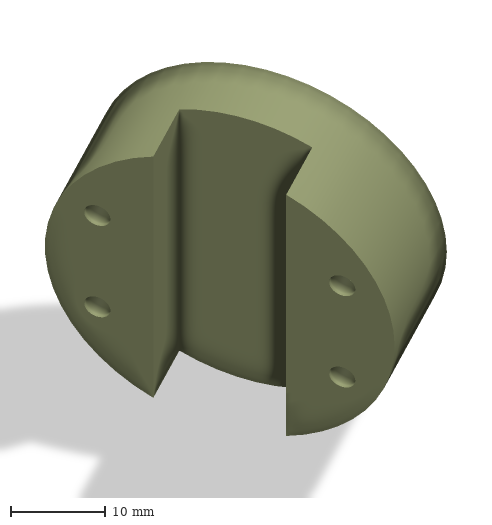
import cadquery as cq

disc_diameter = 40.0
thickness = 15.0
slot_width = 15.2
slot_depth = thickness / 2
hole_diameter = 3.0
hole_spacing_x = 28.0
hole_spacing_z = hole_spacing_x / 2

disc = cq.Workplane("XZ").circle(disc_diameter / 2).extrude(-thickness)

slot = cq.Workplane("XZ").rect(slot_width, disc_diameter).extrude(-slot_depth)

holes = (
    cq.Workplane("XZ")
    .rect(hole_spacing_x, hole_spacing_z, forConstruction=True)
    .vertices()
    .circle(hole_diameter / 2)
    .extrude(-thickness)
)

result = disc.cut(slot).cut(holes)